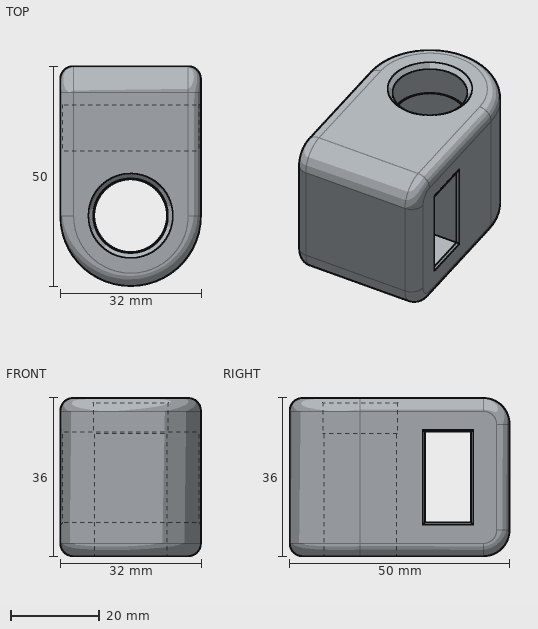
import cadquery as cq

width = 32.0
length = 50.0
height = 36.0
nose_radius = width / 2
back_y = length - nose_radius
back_edge_radius = 6.0
outer_fillet = 3.0

bore_diameter = 16.5
counterbore_diameter = 17.0
counterbore_depth = 8.0
mouth_chamfer = 1.1

window_length = 10.4
window_height = 20.6
window_center_y = 20.0
window_chamfer = 0.5


def make_body():
    body = (
        cq.Workplane("XY")
        .moveTo(-nose_radius, back_y)
        .lineTo(-nose_radius, 0)
        .threePointArc((0, -nose_radius), (nose_radius, 0))
        .lineTo(nose_radius, back_y)
        .close()
        .extrude(height)
    )
    body = body.faces(">Y").edges("|X").fillet(back_edge_radius)
    return body.faces(">Z").edges("not |X").fillet(outer_fillet)


def cut_bore(body):
    body = (
        body.faces(">Z").workplane(origin=(0, 0, height))
        .cboreHole(bore_diameter, counterbore_diameter, counterbore_depth)
    )
    mouth = cq.selectors.RadiusNthSelector(0)
    return body.faces(">Z").edges("%CIRCLE").edges(mouth).chamfer(mouth_chamfer)


def cut_window(body):
    window = cq.Workplane("XY").box(width, window_length, window_height)
    window = window.translate((0, window_center_y, height / 2))
    for side in (-1, 1):
        flare = (
            cq.Workplane("YZ", origin=(side * width / 2, window_center_y, height / 2))
            .rect(window_length + 2 * window_chamfer, window_height + 2 * window_chamfer)
            .workplane(offset=-side * window_chamfer)
            .rect(window_length, window_height)
            .loft(ruled=True)
        )
        window = window.union(flare)
    return body.cut(window)


result = cut_window(cut_bore(make_body()))